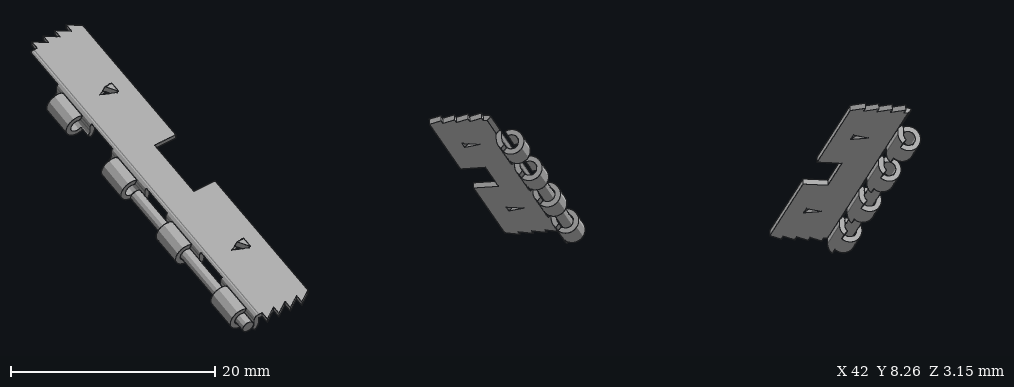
import cadquery as cq
import math


sheet_thickness = 0.55
knuckle_radius = 1.25
bore_radius = knuckle_radius - sheet_thickness

overall_length = 42.0
plate_length = 40.1
plate_back = 7.0
plate_front = knuckle_radius
plate_bottom = 0.55
plate_slope = 1.0
bend_corner = (plate_front, plate_bottom)
notch_width = 6.97
notch_depth = 2.48

tooth_count = 4
tooth_depth = (overall_length - plate_length) / 2
tooth_pitch = 1.35

prong_spacing = 23.5
prong_width = 1.4
prong_length = 1.65
prong_bend_y = 5.15
prong_angle = 35.0

knuckle_count = 4
knuckle_pitch = 9.75
knuckle_width = 3.5
tab_width = 6.0
bend_start_angle = 90.0 - plate_slope
bend_end_angle = 180.0
lip_angle = 45.0
tab_roll_angle = 51.0
knuckle_roll_angle = 300.0
last_knuckle_x = (plate_length - tab_width) / 2
knuckle_centres = [last_knuckle_x - i * knuckle_pitch for i in range(knuckle_count)]

pin_radius = 0.65
pin_start = 0.1
pin_end = plate_length / 2


def polar(radius, angle, centre=(0.0, 0.0)):
    """Point in the Y-Z plane, with the angle in degrees measured from +Y toward +Z."""
    turn = math.radians(angle)
    return (centre[0] + radius * math.cos(turn), centre[1] + radius * math.sin(turn))


def side_profile(centre_x, width):
    """Workplane for a Y-Z outline to be extruded over the given width, centred on centre_x."""
    return cq.Workplane("YZ", origin=(centre_x - width / 2, 0, 0))


def toothed_plate():
    """Flat plate with saw teeth on both short ends and a notch in the middle of its back edge."""
    half_length = plate_length / 2
    right_edge = [(half_length, plate_back)]
    for i in range(1, tooth_count + 1):
        root_y = plate_back - i * tooth_pitch
        right_edge.append((half_length + tooth_depth, root_y))
        right_edge.append((half_length, root_y))
    right_edge.append((half_length, plate_front))
    left_edge = [(-x, y) for x, y in reversed(right_edge)]
    plate = (
        cq.Workplane("XY", origin=(0, 0, plate_bottom))
        .polyline(right_edge + left_edge)
        .close()
        .extrude(sheet_thickness)
    )
    notch = (
        cq.Workplane("XY", origin=(0, plate_back, plate_bottom))
        .rect(notch_width, 2 * notch_depth)
        .extrude(sheet_thickness)
    )
    return plate.cut(notch)


def prong_blank(centre_x):
    """Triangular piece of the sheet, pointing toward the hinge axis."""
    return (
        cq.Workplane("XY", origin=(centre_x, prong_bend_y, plate_bottom))
        .polyline([(-prong_width / 2, 0), (prong_width / 2, 0), (0, -prong_length)])
        .close()
        .extrude(sheet_thickness)
    )


def bent_prong(centre_x):
    """The blank swung upward about the lower edge of its base."""
    axis_start = (centre_x, prong_bend_y, plate_bottom)
    axis_end = (centre_x + 0.4, prong_bend_y, plate_bottom)
    return prong_blank(centre_x).rotate(axis_start, axis_end, -prong_angle)


def lip():
    """Start of the bend, along the whole front edge of the plate."""
    return (
        side_profile(0, plate_length)
        .moveTo(*bend_corner)
        .lineTo(*polar(sheet_thickness, bend_start_angle, bend_corner))
        .threePointArc(
            polar(sheet_thickness, bend_start_angle + lip_angle / 2, bend_corner),
            polar(sheet_thickness, bend_start_angle + lip_angle, bend_corner),
        )
        .close()
        .extrude(plate_length)
    )


def rolled_strip(centre_x, width, roll_angle):
    """Sheet bent down from the plate, then rolled under the hinge axis by roll_angle."""
    return (
        side_profile(centre_x, width)
        .moveTo(*bend_corner)
        .lineTo(*polar(sheet_thickness, bend_start_angle, bend_corner))
        .threePointArc(
            polar(sheet_thickness, (bend_start_angle + bend_end_angle) / 2, bend_corner),
            polar(sheet_thickness, bend_end_angle, bend_corner),
        )
        .lineTo(bore_radius, 0)
        .threePointArc(polar(bore_radius, -roll_angle / 2), polar(bore_radius, -roll_angle))
        .lineTo(*polar(knuckle_radius, -roll_angle))
        .threePointArc(polar(knuckle_radius, -roll_angle / 2), (knuckle_radius, 0))
        .close()
        .extrude(width)
    )


def sloped_plate():
    """Plate with its prongs, tipped down toward its back edge about the bend corner."""
    plate = toothed_plate()
    for centre_x in (-prong_spacing / 2, prong_spacing / 2):
        plate = plate.cut(prong_blank(centre_x))
        plate = plate.union(bent_prong(centre_x))
    return plate.rotate((0, *bend_corner), (1, *bend_corner), -plate_slope)


def hinge_leaf():
    """Sloped plate with its lip, tabs and knuckles, all one piece of sheet."""
    leaf = sloped_plate().union(lip())
    for centre_x in knuckle_centres:
        leaf = leaf.union(rolled_strip(centre_x, tab_width, tab_roll_angle))
        leaf = leaf.union(rolled_strip(centre_x, knuckle_width, knuckle_roll_angle))
    return leaf


def hinge_pin():
    """Straight pin lying loosely in the knuckles on one half of the leaf."""
    return (
        cq.Workplane("YZ", origin=(pin_start, 0, 0))
        .circle(pin_radius)
        .extrude(pin_end - pin_start)
    )


leaf = hinge_leaf()
pin = hinge_pin()
result = cq.Compound.makeCompound([leaf.val(), pin.val()])